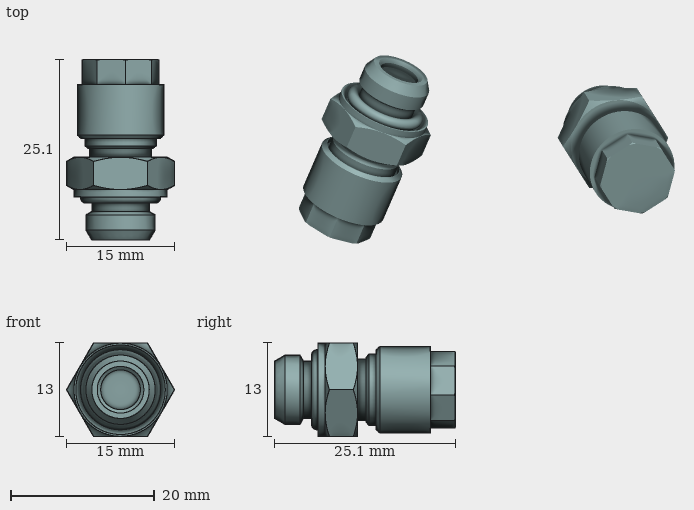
import cadquery as cq
import math

LENGTH = 25.1
LEAD_CHAMFER_END = 1.4
THREAD_END = 3.5
RELIEF_START = 4.0
SEAL_FRONT = 5.12
COLLAR_FRONT = 6.0
HEX_FRONT = 7.0
HEX_BACK = 11.52
NECK_BACK = 12.7
RING_CHAMFER_END = 13.1
NUT_FRONT = 14.1
NUT_CHAMFER_END = 14.6
NUT_BACK = 21.6

LEAD_RADIUS = 4.0
THREAD_RADIUS = 4.82
RELIEF_RADIUS = 4.0
COLLAR_RADIUS = 6.48
NECK_RADIUS = 4.3
RING_CHAMFER_RADIUS = 4.47
RING_RADIUS = 4.97
NUT_RADIUS = 6.02
NUT_CHAMFER_RADIUS = NUT_RADIUS - (NUT_CHAMFER_END - NUT_FRONT)

NUT_MOUTH_RADIUS = 5.37
NUT_MOUTH_DEPTH = 0.75

MOUTH_RADIUS = 3.25
BORE_RADIUS = 2.75
BORE_DEPTH = 1.15
MOUTH_DEPTH = MOUTH_RADIUS - BORE_RADIUS

SEAL_OUTER_RADIUS = 5.57
SEAL_TUBE_RADIUS = 0.8
SEAT_MOUTH_RADIUS = 6.22
SEAT_FLOOR_RADIUS = 5.4
SEAT_DEPTH = SEAT_MOUTH_RADIUS - SEAT_FLOOR_RADIUS

HEX_FLATS = 13.0
HEX_CORNER_RADIUS = HEX_FLATS / 2 / math.cos(math.pi / 6)
HEX_CHAMFER_RADIUS = 6.48
OCTAGON_FLATS = 9.96
OCTAGON_CORNER_RADIUS = OCTAGON_FLATS / 2 / math.cos(math.pi / 8)
OCTAGON_CHAMFER_RADIUS = 5.2
OCTAGON_TURN = 7.6
CORNER_CHAMFER_ANGLE = 30.0


def turned(profile):
    """Revolve (radius, y) points about the Y axis."""
    return cq.Workplane("XY").polyline(profile).close().revolve(360, (0, 0, 0), (0, 1, 0))


def prism(sides, corner_radius, start, end):
    """Polygonal bar along +Y with a corner on the X axis."""
    bar = cq.Workplane("XZ", origin=(0, start, 0)).polygon(sides, 2 * corner_radius)
    return bar.extrude(start - end)


def corner_drop(corner_radius, chamfer_radius):
    """Axial length of a conical chamfer at a polygon's corner."""
    return (corner_radius - chamfer_radius) * math.tan(math.radians(CORNER_CHAMFER_ANGLE))


def make_body():
    return turned([
        (0, BORE_DEPTH),
        (BORE_RADIUS, BORE_DEPTH),
        (BORE_RADIUS, MOUTH_DEPTH),
        (MOUTH_RADIUS, 0),
        (LEAD_RADIUS, 0),
        (THREAD_RADIUS, LEAD_CHAMFER_END),
        (THREAD_RADIUS, THREAD_END),
        (RELIEF_RADIUS, RELIEF_START),
        (RELIEF_RADIUS, COLLAR_FRONT + SEAT_DEPTH),
        (SEAT_FLOOR_RADIUS, COLLAR_FRONT + SEAT_DEPTH),
        (SEAT_MOUTH_RADIUS, COLLAR_FRONT),
        (COLLAR_RADIUS, COLLAR_FRONT),
        (COLLAR_RADIUS, HEX_FRONT),
        (NECK_RADIUS, HEX_FRONT),
        (NECK_RADIUS, NECK_BACK),
        (RING_CHAMFER_RADIUS, NECK_BACK),
        (RING_RADIUS, RING_CHAMFER_END),
        (RING_RADIUS, NUT_FRONT + NUT_MOUTH_DEPTH),
        (NUT_MOUTH_RADIUS, NUT_FRONT + NUT_MOUTH_DEPTH),
        (NUT_MOUTH_RADIUS, NUT_FRONT),
        (NUT_CHAMFER_RADIUS, NUT_FRONT),
        (NUT_RADIUS, NUT_CHAMFER_END),
        (NUT_RADIUS, NUT_BACK),
        (0, NUT_BACK),
    ])


def make_seal():
    center_radius = SEAL_OUTER_RADIUS - SEAL_TUBE_RADIUS
    tube = cq.Workplane("XY").center(center_radius, SEAL_FRONT + SEAL_TUBE_RADIUS).circle(SEAL_TUBE_RADIUS)
    return tube.revolve(360, (-center_radius, 0, 0), (-center_radius, 1, 0))


def make_hex():
    drop = corner_drop(HEX_CORNER_RADIUS, HEX_CHAMFER_RADIUS)
    envelope = turned([
        (0, HEX_FRONT),
        (HEX_CHAMFER_RADIUS, HEX_FRONT),
        (HEX_CORNER_RADIUS, HEX_FRONT + drop),
        (HEX_CORNER_RADIUS, HEX_BACK - drop),
        (HEX_CHAMFER_RADIUS, HEX_BACK),
        (0, HEX_BACK),
    ])
    return prism(6, HEX_CORNER_RADIUS, HEX_FRONT, HEX_BACK).intersect(envelope)


def make_octagon():
    drop = corner_drop(OCTAGON_CORNER_RADIUS, OCTAGON_CHAMFER_RADIUS)
    envelope = turned([
        (0, NUT_BACK),
        (OCTAGON_CORNER_RADIUS, NUT_BACK),
        (OCTAGON_CORNER_RADIUS, LENGTH - drop),
        (OCTAGON_CHAMFER_RADIUS, LENGTH),
        (0, LENGTH),
    ])
    bar = prism(8, OCTAGON_CORNER_RADIUS, NUT_BACK, LENGTH)
    return bar.rotate((0, 0, 0), (0, 1, 0), OCTAGON_TURN).intersect(envelope)


result = make_body().union(make_seal()).union(make_hex()).union(make_octagon())